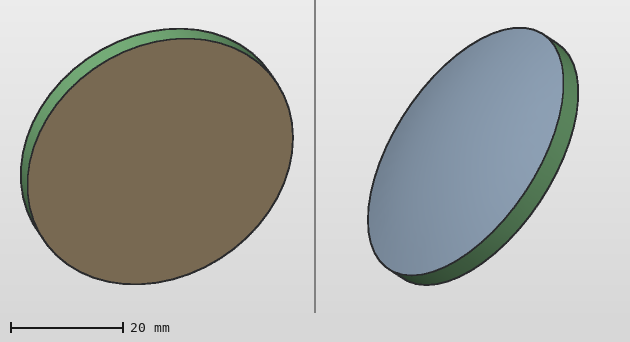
import cadquery as cq
import math

diameter = 50.0
center_thickness = 7.57
edge_thickness = 3.66

rim_radius = diameter / 2
sag = center_thickness - edge_thickness
sphere_radius = (rim_radius**2 + sag**2) / (2 * sag)

mid_height = rim_radius / 2
mid_depth = sphere_radius - math.sqrt(sphere_radius**2 - mid_height**2)


def lens():
    """Revolve the half section (X along the axis, Y outward) a full turn about X."""
    half_section = (
        cq.Workplane("XY")
        .threePointArc((mid_depth, mid_height), (sag, rim_radius))
        .lineTo(center_thickness, rim_radius)
        .lineTo(center_thickness, 0)
        .close()
    )
    return half_section.revolve(360, (0, 0, 0), (1, 0, 0))


result = lens()